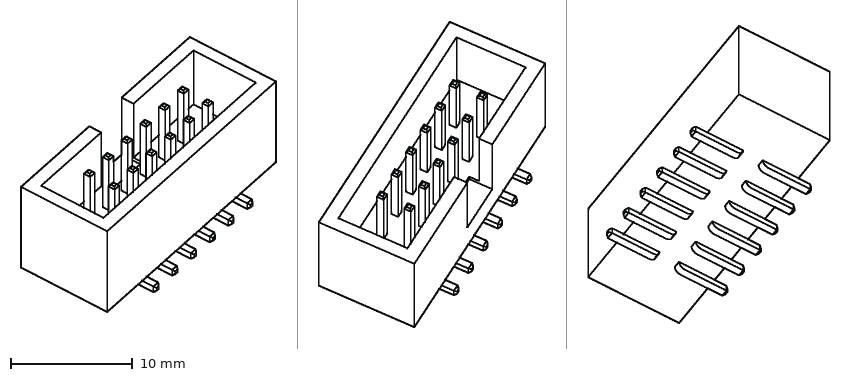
import cadquery as cq

HOUSING_WIDTH = 8.9
HOUSING_LENGTH = 22.85
HOUSING_HEIGHT = 9.0

POCKET_WIDTH = 6.42
POCKET_LENGTH = 20.62
POCKET_DEPTH = 6.01
POCKET_FLOOR = HOUSING_HEIGHT - POCKET_DEPTH

NOTCH_WIDTH = 4.37
NOTCH_REACH = 2.15
NOTCH_DEPTH = 6.35

PITCH = 2.54
PINS_PER_ROW = 6
WIRE = 0.65
CONTACT_RECESS = 0.27
CONTACT_TOP = HOUSING_HEIGHT - CONTACT_RECESS
LEAD_SPAN = 11.6
TIP_INSET = 0.15
LEAD_TAPER = 0.2
BEND_RADIUS = WIRE


def make_housing():
    """Box with the pocket and the keying notch removed."""
    box = (
        cq.Workplane("XY")
        .box(HOUSING_WIDTH, HOUSING_LENGTH, HOUSING_HEIGHT, centered=(True, True, False))
    )
    pocket = (
        cq.Workplane("XY", origin=(0, 0, POCKET_FLOOR))
        .rect(POCKET_WIDTH, POCKET_LENGTH)
        .extrude(POCKET_DEPTH)
    )
    notch = (
        cq.Workplane("XY", origin=(-HOUSING_WIDTH / 2, 0, HOUSING_HEIGHT - NOTCH_DEPTH))
        .box(NOTCH_REACH, NOTCH_WIDTH, NOTCH_DEPTH, centered=(False, True, False))
    )
    return box.cut(pocket).cut(notch)


def make_pin():
    """Pin of the +X row at Y = 0, with chamfered tips and a rounded outer bend."""
    contact_x = PITCH / 2
    contact = (
        cq.Workplane("XY", origin=(contact_x, 0, -WIRE))
        .box(WIRE, WIRE, CONTACT_TOP + WIRE, centered=(True, True, False))
        .faces(">Z")
        .chamfer(TIP_INSET)
    )
    inner_x = contact_x - WIRE / 2
    lead = (
        cq.Workplane("XY", origin=(inner_x, 0, -WIRE))
        .box(LEAD_SPAN / 2 - inner_x, WIRE, WIRE, centered=(False, True, False))
        .faces(">X")
        .chamfer(TIP_INSET, LEAD_TAPER)
    )
    return contact.union(lead).edges("|Y and <X and <Z").fillet(BEND_RADIUS)


def make_pins():
    """Both rows of pins; the -X row mirrors the +X row."""
    pin = make_pin()
    mirrored_pin = pin.mirror("YZ")
    first_y = -PITCH * (PINS_PER_ROW - 1) / 2
    pins = []
    for index in range(PINS_PER_ROW):
        shift = (0, first_y + index * PITCH, 0)
        pins.append(pin.translate(shift))
        pins.append(mirrored_pin.translate(shift))
    return pins


result = make_housing()
for single_pin in make_pins():
    result = result.union(single_pin)